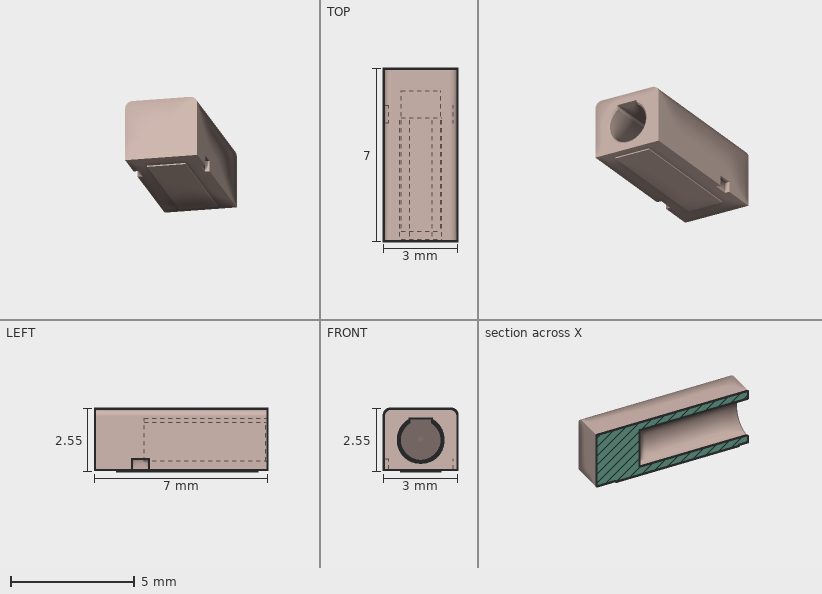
import cadquery as cq

WIDTH = 3.0
LENGTH = 7.0
HEIGHT = 2.5
TOP_EDGE_RADIUS = 0.3
FRONT_Y = -LENGTH / 2
BACK_Y = LENGTH / 2

BORE_DIAMETER = 1.7
BORE_AXIS_Z = 1.225
BORE_DEPTH = 5.0
ENTRY_CHAMFER = 0.075

KEYWAY_WIDTH = 0.92
KEYWAY_TOP_Z = 2.1

PAD_WIDTH = 1.6
PAD_THICKNESS = 0.05
PAD_FRONT_GAP = 0.4
PAD_BACK_GAP = 0.9

NOTCH_LENGTH = 0.7
NOTCH_HEIGHT = 0.45
NOTCH_DEPTH = 0.2
NOTCH_BACK_GAP = 1.5


def box_from(x_min, x_max, y_min, y_max, z_min, z_max):
    """Axis-aligned box between the given limits."""
    box = cq.Workplane("XY").box(x_max - x_min, y_max - y_min, z_max - z_min, centered=False)
    return box.translate((x_min, y_min, z_min))


def housing():
    block = cq.Workplane("XY").box(WIDTH, LENGTH, HEIGHT, centered=(True, True, False))
    return block.edges("|Y and >Z").fillet(TOP_EDGE_RADIUS)


def bore():
    """Round bore with a conical lead-in at its mouth."""
    radius = BORE_DIAMETER / 2
    profile = (
        cq.Workplane("XY")
        .moveTo(0, 0)
        .lineTo(radius + ENTRY_CHAMFER, 0)
        .lineTo(radius, ENTRY_CHAMFER)
        .lineTo(radius, BORE_DEPTH)
        .lineTo(0, BORE_DEPTH)
        .close()
    )
    cutter = profile.revolve(360, (0, 0, 0), (0, 1, 0))
    return cutter.translate((0, FRONT_Y, BORE_AXIS_Z))


def keyway():
    half_width = KEYWAY_WIDTH / 2
    return box_from(-half_width, half_width, FRONT_Y, FRONT_Y + BORE_DEPTH, BORE_AXIS_Z, KEYWAY_TOP_Z)


def wire_opening():
    """Bore and keyway together, with the lead-in cone cut off flat at the keyway top."""
    above_keyway = box_from(
        -WIDTH / 2, WIDTH / 2, FRONT_Y, FRONT_Y + BORE_DEPTH, KEYWAY_TOP_Z, HEIGHT
    )
    return bore().cut(above_keyway).union(keyway())


def solder_pad():
    half_width = PAD_WIDTH / 2
    return box_from(
        -half_width, half_width, FRONT_Y + PAD_FRONT_GAP, BACK_Y - PAD_BACK_GAP, -PAD_THICKNESS, 0
    )


def side_notch():
    """Notch in the -X side, open to the side and the underside."""
    outer_x = -WIDTH / 2
    back_y = BACK_Y - NOTCH_BACK_GAP
    return box_from(outer_x, outer_x + NOTCH_DEPTH, back_y - NOTCH_LENGTH, back_y, 0, NOTCH_HEIGHT)


left_notch = side_notch()
right_notch = left_notch.mirror("YZ")

result = (
    housing()
    .cut(wire_opening())
    .cut(left_notch)
    .cut(right_notch)
    .union(solder_pad())
)